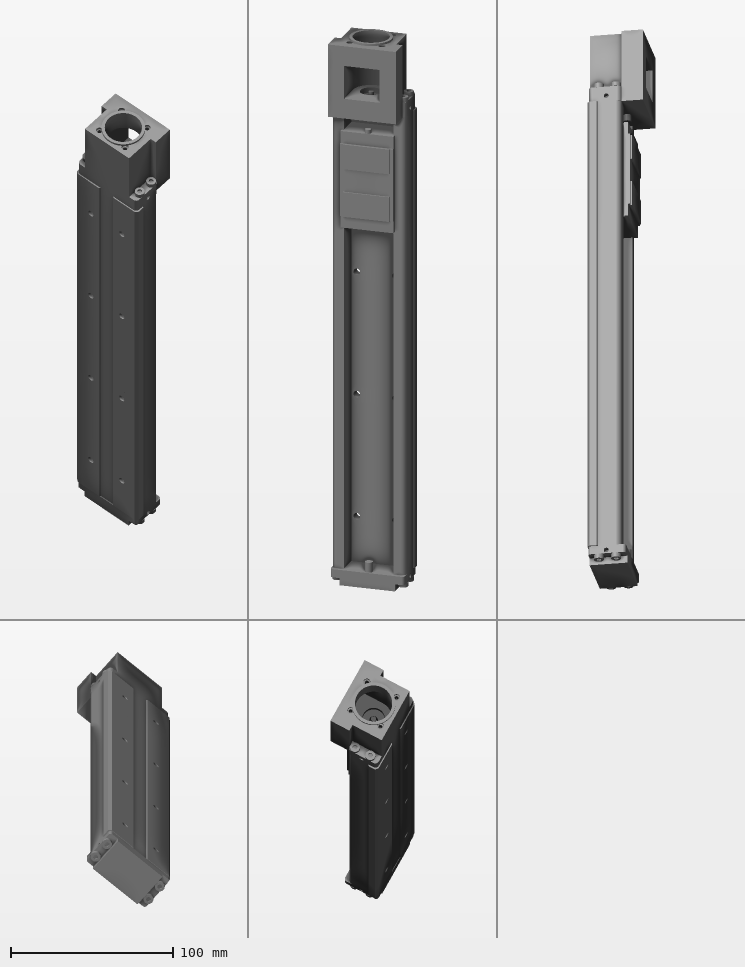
import cadquery as cq


total_length = 359.0
cap_length = 10.0
rail_length = 300.0
rail_end = cap_length + rail_length

foot_width = 50.0
foot_height = 6.0
foot_step = 0.7
foot_chamfer_width = 1.8
foot_chamfer_height = 1.5
wall_width = 48.0
rail_height = 21.2
wall_edge_radius = 3.2
channel_width = 32.3
floor_thickness = 6.5
groove_floor_width = 10.0
groove_mouth_width = 11.5
groove_depth = 0.7

mount_hole_diameter = 4.3
mount_hole_spacing_x = 25.0
mount_hole_pitch = 80.0
mount_hole_first = 40.0
mount_hole_count = 4

end_body_width = 36.0
bracket_flange_thickness = 9.7
bracket_flange_radius = 2.5
cap_flange_thickness = 5.5
cap_flange_radius = 1.8
cap_clearance = 0.5
cap_height = 24.0
side_hole_diameter = 3.0
side_hole_depth = 3.5
side_hole_height = 12.0
bracket_side_hole_offset = 3.5
cap_side_hole_offset = 3.2

head_diameter = 6.0
head_length = 3.0
head_spacing_x = 42.7
head_heights = (7.0, 17.5)
socket_diameter = 3.2
socket_depth = 1.5

bracket_height = 34.5
hood_width = 44.0
boss_height = 1.5
bracket_end = total_length - boss_height
motor_axis_height = 16.0
boss_diameter = 27.0
motor_bore_diameter = 23.0
motor_bore_floor = 323.0
window_top = 344.5
bearing_diameter = 14.0
bearing_depth = 3.5
shaft_hole_diameter = 5.5
shaft_hole_depth = 7.2
shaft_diameter = 3.2
motor_hole_spacing = 21.0
motor_hole_diameter = 4.3
motor_thread_diameter = 2.5
motor_counterbore_depth = 1.5
motor_hole_depth = 7.2

stop_diameter = 5.0
stop_axis_height = 21.0
bracket_stop_length = 4.3
cap_stop_length = 6.5

carriage_middle = 266.5
carriage_length = 63.2
block_length = 47.5
carriage_width = 34.5
carriage_gap = 0.7
end_plate_height = 24.5
block_height = 25.5
pad_height = 26.5
pad_length = 16.0
pad_width = 30.0
nipple_diameter = 4.0
nipple_length = 2.5
nipple_axis_height = 22.3


def box(width, y_low, y_high, z_low, z_high):
    """Block centred on X = 0 between the given Y and Z limits."""
    return (
        cq.Workplane("XY", origin=(0, y_low, z_low))
        .box(width, y_high - y_low, z_high - z_low, centered=(True, False, False))
    )


def cylinder(x, y, z_low, z_high, diameter):
    """Cylinder along Z between two Z levels."""
    return cq.Workplane("XY", origin=(x, y, z_low)).circle(diameter / 2).extrude(z_high - z_low)


def make_rail():
    """U-shaped rail with flared feet, a groove below and mounting holes in its floor."""
    half_foot = foot_width / 2
    half_wall = wall_width / 2
    half_channel = channel_width / 2
    right_outline = [
        (groove_floor_width / 2, groove_depth),
        (groove_mouth_width / 2, 0),
        (half_foot - foot_chamfer_width, 0),
        (half_foot, foot_chamfer_height),
        (half_foot, foot_height),
        (half_wall, foot_height + foot_step),
        (half_wall, rail_height),
        (half_channel, rail_height),
        (half_channel, floor_thickness),
    ]
    left_outline = [(-x, y) for x, y in reversed(right_outline)]
    rail = (
        cq.Workplane("XY", origin=(0, 0, cap_length))
        .polyline(right_outline + left_outline)
        .close()
        .extrude(rail_length)
    )
    for x in (-half_wall, half_wall):
        edge_point = (x, rail_height, cap_length + rail_length / 2)
        rail = rail.edges(cq.NearestToPointSelector(edge_point)).fillet(wall_edge_radius)

    hole_points = [
        (side * mount_hole_spacing_x / 2, mount_hole_first + i * mount_hole_pitch)
        for side in (-1, 1)
        for i in range(mount_hole_count)
    ]
    holes = (
        cq.Workplane("XZ")
        .pushPoints(hole_points)
        .circle(mount_hole_diameter / 2)
        .extrude(-floor_thickness)
    )
    return rail.cut(holes)


def make_flange(y_low, y_high, z_low, z_high, corner_radius, hole_z):
    """Wide end flange with rounded long edges and a blind hole in each side."""
    flange = box(wall_width, y_low, y_high, z_low, z_high).edges("|Z").fillet(corner_radius)
    for side in (-1, 1):
        hole = (
            cq.Workplane("YZ", origin=(side * wall_width / 2, side_hole_height, hole_z))
            .circle(side_hole_diameter / 2)
            .extrude(-side * side_hole_depth)
        )
        flange = flange.cut(hole)
    return flange


def add_screw_heads(body, seat_z, direction):
    """Four socket screw heads standing on a flange, pointing along +Z or -Z."""
    for side in (-1, 1):
        for y in head_heights:
            seat = cq.Workplane("XY", origin=(side * head_spacing_x / 2, y, seat_z))
            body = body.union(seat.circle(head_diameter / 2).extrude(direction * head_length))
            socket = (
                seat.workplane(offset=direction * head_length)
                .polygon(6, socket_diameter)
                .extrude(-direction * socket_depth)
            )
            body = body.cut(socket)
    return body


def make_motor_bracket():
    """Motor bracket: narrow body, wide hood above it, bolted flange and motor bore."""
    flange_top = rail_end + bracket_flange_thickness
    hole_z = rail_end + bracket_side_hole_offset
    bracket = box(end_body_width, groove_depth, bracket_height, rail_end, bracket_end)
    bracket = bracket.union(box(hood_width, rail_height, bracket_height, rail_end, bracket_end))
    bracket = bracket.union(
        make_flange(groove_depth, rail_height, rail_end, flange_top, bracket_flange_radius, hole_z)
    )
    bracket = add_screw_heads(bracket, flange_top, 1)
    bracket = bracket.union(cylinder(0, motor_axis_height, bracket_end, total_length, boss_diameter))

    bearing_floor = motor_bore_floor - bearing_depth
    shaft_hole_floor = bearing_floor - shaft_hole_depth
    bore_steps = [
        (motor_bore_diameter, motor_bore_floor, total_length),
        (bearing_diameter, bearing_floor, motor_bore_floor),
        (shaft_hole_diameter, shaft_hole_floor, bearing_floor),
    ]
    for diameter, z_low, z_high in bore_steps:
        bracket = bracket.cut(cylinder(0, motor_axis_height, z_low, z_high, diameter))
    bracket = bracket.union(
        cylinder(0, motor_axis_height, shaft_hole_floor, motor_bore_floor, shaft_diameter)
    )

    bracket = bracket.cut(
        box(motor_bore_diameter, motor_axis_height, bracket_height, motor_bore_floor, window_top)
    )

    motor_holes = (
        cq.Workplane("XY", origin=(0, motor_axis_height, bracket_end))
        .rect(motor_hole_spacing, motor_hole_spacing, forConstruction=True)
        .vertices()
    )
    bracket = bracket.cut(motor_holes.circle(motor_hole_diameter / 2).extrude(-motor_counterbore_depth))
    bracket = bracket.cut(motor_holes.circle(motor_thread_diameter / 2).extrude(-motor_hole_depth))

    stop_end = rail_end - bracket_stop_length
    return bracket.union(cylinder(0, stop_axis_height, stop_end, rail_end, stop_diameter))


def make_end_cap():
    """End cap: narrow body, bolted flange with screw heads and a rubber stop."""
    flange_bottom = cap_length - cap_flange_thickness
    hole_z = cap_length - cap_side_hole_offset
    cap = box(end_body_width, cap_clearance, cap_height, 0, cap_length)
    cap = cap.union(
        make_flange(cap_clearance, cap_height, flange_bottom, cap_length, cap_flange_radius, hole_z)
    )
    cap = add_screw_heads(cap, flange_bottom, -1)
    stop_end = cap_length + cap_stop_length
    return cap.union(cylinder(0, stop_axis_height, cap_length, stop_end, stop_diameter))


def make_carriage():
    """Carriage resting on the channel floor, with two raised pads and a grease nipple."""
    carriage_low = carriage_middle - carriage_length / 2
    carriage_high = carriage_middle + carriage_length / 2
    block_low = carriage_middle - block_length / 2
    block_high = carriage_middle + block_length / 2
    table_bottom = rail_height + carriage_gap
    carriage = box(channel_width, floor_thickness, end_plate_height, carriage_low, carriage_high)
    carriage = carriage.union(
        box(carriage_width, table_bottom, end_plate_height, carriage_low, carriage_high)
    )
    carriage = carriage.union(box(carriage_width, table_bottom, block_height, block_low, block_high))
    for pad_low in (block_low, block_high - pad_length):
        pad = box(pad_width, block_height, pad_height, pad_low, pad_low + pad_length)
        carriage = carriage.union(pad)
    nipple_end = carriage_high + nipple_length
    return carriage.union(cylinder(0, nipple_axis_height, carriage_high, nipple_end, nipple_diameter))


base = make_rail().union(make_motor_bracket()).union(make_end_cap())
carriage = make_carriage()

result = cq.Compound.makeCompound([base.val(), carriage.val()])